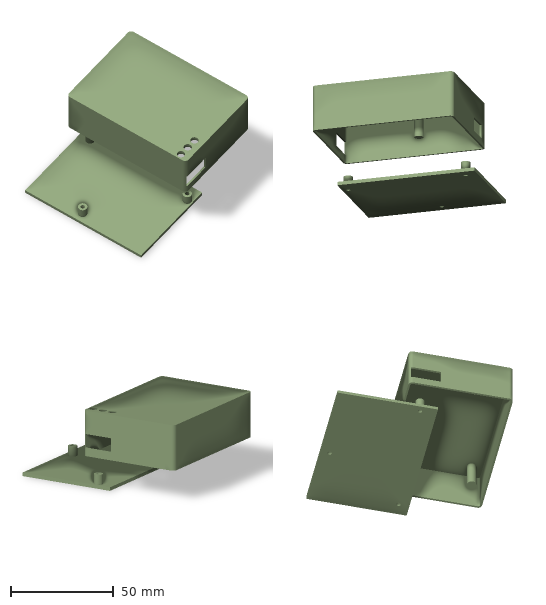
import cadquery as cq

wall = 1.0
lid_thickness = 2.0
housing_length = 72.0
housing_depth = 52.0
housing_height = 23.0
corner_radius = 2.0
base_length = 70.1
base_depth = 50.0
base_thickness = 1.75

inset_x = (housing_length - base_length) / 2
inset_y = (housing_depth - base_depth) / 2

post_diameter = 4.5
post_height = 5.0
screw_diameter = 2.1
board_gap = 1.0
post_centers = [(6.3, 44.55), (31.3, 4.7), (67.2, 41.7)]

total_depth = 87.4
total_height = 38.8
housing_x = -inset_x
housing_y = total_depth - housing_depth
housing_z = total_height - housing_height

lid_hole_diameter = 4.0
lid_hole_count = 3
lid_hole_pitch = 5.5
lid_hole_right_inset = 5.0
lid_hole_front_inset = 2.7

left_window_front = 6.6
left_window_width = 11.7
left_window_bottom = 3.4
left_window_height = 7.0
right_window_front = wall
right_window_width = 14.9
right_window_bottom = 4.1
right_window_height = 7.1


def corner_box(length, depth, height):
    """Box with its lowest corner at the origin."""
    return cq.Workplane("XY").box(length, depth, height, centered=False)


def make_base():
    plate = corner_box(base_length, base_depth, base_thickness)
    posts = (
        cq.Workplane("XY", origin=(0, 0, base_thickness))
        .pushPoints(post_centers)
        .circle(post_diameter / 2)
        .extrude(post_height)
    )
    screw_holes = (
        cq.Workplane("XY")
        .pushPoints(post_centers)
        .circle(screw_diameter / 2)
        .extrude(base_thickness + post_height)
    )
    return plate.union(posts).cut(screw_holes)


def make_shell():
    """Rounded box with an open bottom."""
    outer = corner_box(housing_length, housing_depth, housing_height)
    outer = outer.edges("|Z").fillet(corner_radius)
    cavity = corner_box(housing_length - 2 * wall, housing_depth - 2 * wall, housing_height - lid_thickness)
    cavity = cavity.edges("|Z").fillet(corner_radius - wall)
    return outer.cut(cavity.translate((wall, wall, 0)))


def make_pegs():
    """Pegs from the lid down to just above the standoffs."""
    peg_bottom = base_thickness + post_height + board_gap
    peg_centers = [(x + inset_x, y + inset_y) for x, y in post_centers]
    return (
        cq.Workplane("XY", origin=(0, 0, peg_bottom))
        .pushPoints(peg_centers)
        .circle(post_diameter / 2)
        .extrude(housing_height - peg_bottom)
    )


def make_lid_holes():
    hole_x = housing_length - lid_hole_right_inset
    hole_centers = [(hole_x, lid_hole_front_inset + i * lid_hole_pitch) for i in range(lid_hole_count)]
    return (
        cq.Workplane("XY", origin=(0, 0, housing_height - lid_thickness))
        .pushPoints(hole_centers)
        .circle(lid_hole_diameter / 2)
        .extrude(lid_thickness)
    )


def make_housing():
    left_window = corner_box(wall, left_window_width, left_window_height)
    left_window = left_window.translate((0, left_window_front, left_window_bottom))
    right_window = corner_box(corner_radius, right_window_width, right_window_height)
    right_window = right_window.translate(
        (housing_length - corner_radius, right_window_front, right_window_bottom)
    )
    housing = make_shell().union(make_pegs())
    housing = housing.cut(make_lid_holes()).cut(left_window).cut(right_window)
    return housing.translate((housing_x, housing_y, housing_z))


base = make_base()
housing = make_housing()
result = cq.Compound.makeCompound([base.val(), housing.val()])